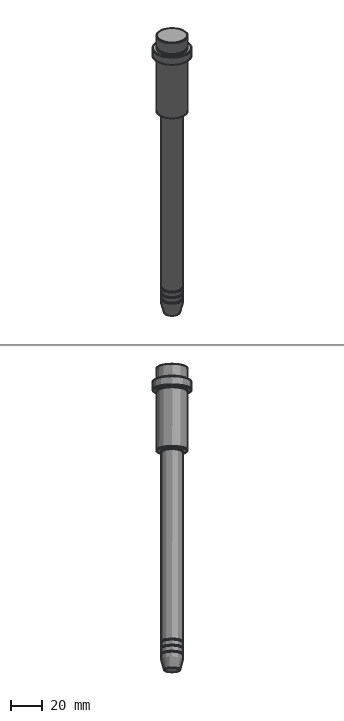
import cadquery as cq

length = 200.0
head_diameter = 20.0
flange_diameter = 25.0
shank_diameter = 14.0

head_height = 9.0
flange_thickness = 6.0
shoulder_length = 40.0
flange_bottom = length - head_height - flange_thickness
flange_top = flange_bottom + flange_thickness
shoulder_bottom = flange_bottom - shoulder_length

edge_chamfer = 0.5

taper_height = 7.0
tip_face_diameter = 9.5
tip_chamfer = edge_chamfer

groove_width = 1.0
groove_depth = 0.5
groove_floor_width = 0.5

groove_count = 3
groove_pitch = 4.0
first_groove_bottom = 10.0


def disc(diameter, bottom, height):
    return cq.Workplane("XY").workplane(offset=bottom).circle(diameter / 2).extrude(height)


def turned_profile(section):
    """Revolve a closed (radius, height) section about the Z axis."""
    return cq.Workplane("XZ").polyline(section).close().revolve(360, (0, 0), (0, 1))


def ring_groove(diameter, bottom):
    """Cutter for a groove with sloping walls and a flat floor."""
    outer_radius = diameter / 2
    floor_radius = outer_radius - groove_depth
    middle = bottom + groove_width / 2
    return turned_profile([
        (outer_radius, middle - groove_width / 2),
        (floor_radius, middle - groove_floor_width / 2),
        (floor_radius, middle + groove_floor_width / 2),
        (outer_radius, middle + groove_width / 2),
    ])


def tapered_tip():
    face_radius = tip_face_diameter / 2
    return turned_profile([
        (0, 0),
        (face_radius, 0),
        (face_radius + tip_chamfer, tip_chamfer),
        (shank_diameter / 2, taper_height),
        (0, taper_height),
    ])


def shank():
    body = disc(shank_diameter, taper_height, shoulder_bottom - taper_height)
    for i in range(groove_count):
        body = body.cut(ring_groove(shank_diameter, first_groove_bottom + i * groove_pitch))
    return body.cut(ring_groove(shank_diameter, shoulder_bottom - groove_width))


def head():
    shoulder = disc(head_diameter, shoulder_bottom, length - shoulder_bottom)
    shoulder = shoulder.faces("<Z or >Z").chamfer(edge_chamfer)
    shoulder = shoulder.cut(ring_groove(head_diameter, flange_bottom - groove_width))
    shoulder = shoulder.cut(ring_groove(head_diameter, flange_top))
    flange = disc(flange_diameter, flange_bottom, flange_thickness)
    flange = flange.faces("<Z or >Z").chamfer(edge_chamfer)
    return shoulder.union(flange)


result = tapered_tip().union(shank()).union(head())